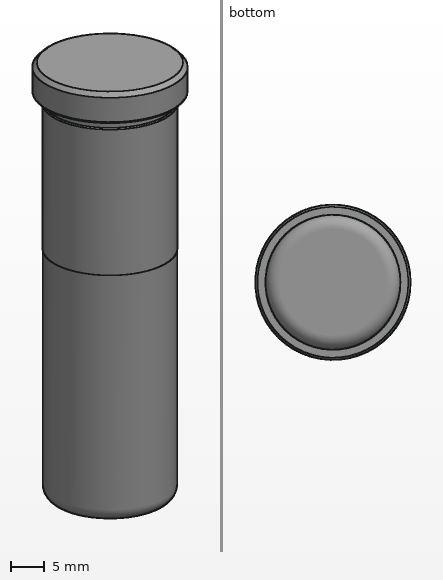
import cadquery as cq

length = 70.0
head_diameter = 23.0
head_height = 5.0
head_top_chamfer = 0.7
head_bottom_chamfer = 0.35

upper_diameter = 20.0
lower_diameter = 19.95
lower_length = 40.0
shaft_end_fillet = 2.0

groove_diameter = 19.6
groove_width = 1.3
shoulder_chamfer = (upper_diameter - groove_diameter) / 2

head_bottom = length - head_height
shaft_top = head_bottom - groove_width


def cylinder(diameter, bottom, top):
    """Cylinder on the pin axis between two heights."""
    return cq.Workplane("XY").workplane(offset=bottom).circle(diameter / 2).extrude(top - bottom)


lower_shaft = cylinder(lower_diameter, 0, lower_length)
lower_shaft = lower_shaft.faces("<Z").edges().fillet(shaft_end_fillet)

upper_shaft = cylinder(upper_diameter, lower_length, shaft_top)
upper_shaft = upper_shaft.faces(">Z").edges().chamfer(shoulder_chamfer)

neck = cylinder(groove_diameter, shaft_top, head_bottom)

head = cylinder(head_diameter, head_bottom, length)
head = head.faces(">Z").edges().chamfer(head_top_chamfer)
head = head.faces("<Z").edges().chamfer(head_bottom_chamfer)

result = lower_shaft.union(upper_shaft).union(neck).union(head)